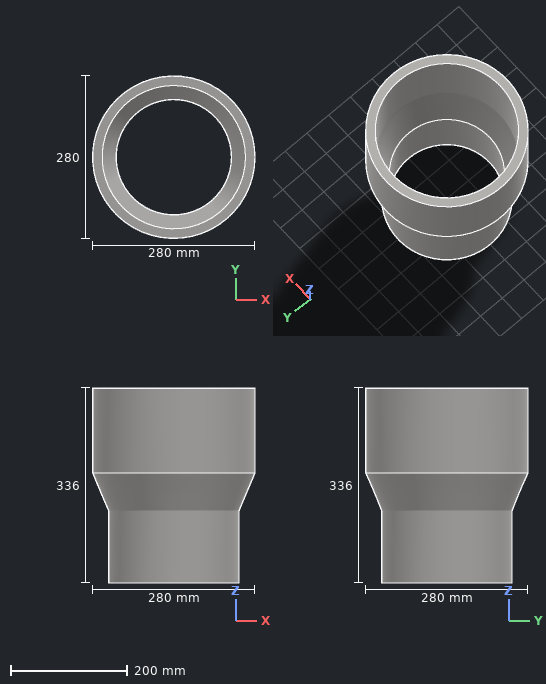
import cadquery as cq

wide_outer_diameter = 280.0
wide_wall = 16.6
wide_length = 146.0

narrow_outer_diameter = 225.0
narrow_wall = 13.4
narrow_length = 125.0

taper_length = 65.0
blend_radius = 6.0

wide_outer_radius = wide_outer_diameter / 2
wide_bore_radius = wide_outer_radius - wide_wall
narrow_outer_radius = narrow_outer_diameter / 2
narrow_bore_radius = narrow_outer_radius - narrow_wall

taper_bottom = narrow_length
taper_top = taper_bottom + taper_length
total_height = taper_top + wide_length

outer_hollow_corner = (narrow_outer_radius, taper_bottom)
bore_hollow_corner = (wide_bore_radius, taper_top)


def wall_section():
    """Half section of the wall, with its two hollow corners rounded."""
    section = cq.Sketch().polygon(
        [
            (narrow_bore_radius, 0),
            (narrow_outer_radius, 0),
            outer_hollow_corner,
            (wide_outer_radius, taper_top),
            (wide_outer_radius, total_height),
            (wide_bore_radius, total_height),
            bore_hollow_corner,
            (narrow_bore_radius, taper_bottom),
            (narrow_bore_radius, 0),
        ]
    )
    for radius, height in (outer_hollow_corner, bore_hollow_corner):
        corner = cq.NearestToPointSelector((radius, height, 0))
        section = section.vertices(corner).fillet(blend_radius).reset()
    return section


result = cq.Workplane("XZ").placeSketch(wall_section()).revolve(360, (0, 0, 0), (0, 1, 0))